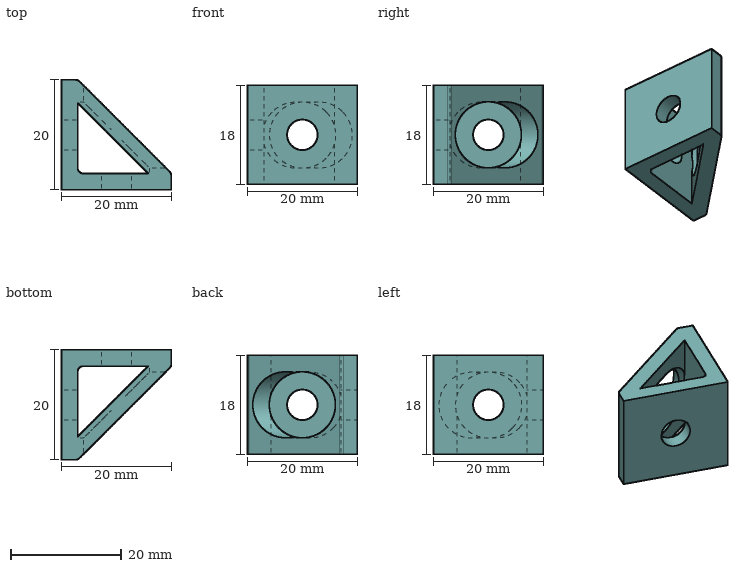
import cadquery as cq
import math

leg = 20.0
height = 18.0
wall = 3.0
end_land = 3.0
corner_radius = 1.0
screw_diameter = 5.5
access_diameter = 12.0

inner_diagonal_sum = leg + end_land - wall * math.sqrt(2)
window_tip = inner_diagonal_sum - wall


def make_body():
    outline = [(0, 0), (leg, 0), (leg, end_land), (end_land, leg), (0, leg)]
    body = cq.Workplane("XY").polyline(outline).close().extrude(height)
    for x, y in [(leg, end_land), (end_land, leg)]:
        edge = cq.selectors.NearestToPointSelector((x, y, height / 2))
        body = body.edges("|Z").edges(edge).fillet(corner_radius)
    return body


def make_window():
    """Triangular opening through the height, rounded at the square corner."""
    outline = [(wall, wall), (window_tip, wall), (wall, window_tip)]
    window = cq.Workplane("XY").polyline(outline).close().extrude(height)
    square_corner = cq.selectors.NearestToPointSelector((wall, wall, height / 2))
    return window.edges("|Z").edges(square_corner).fillet(corner_radius)


def bore(start, direction, diameter):
    return cq.Workplane(
        cq.Solid.makeCylinder(diameter / 2, leg, cq.Vector(*start), cq.Vector(*direction))
    )


result = make_body().cut(make_window())

middle = leg / 2
mid_height = height / 2
for direction, hole_start, access_start in [
    ((0, 1, 0), (middle, 0, mid_height), (middle, wall, mid_height)),
    ((1, 0, 0), (0, middle, mid_height), (wall, middle, mid_height)),
]:
    result = result.cut(bore(hole_start, direction, screw_diameter))
    result = result.cut(bore(access_start, direction, access_diameter))